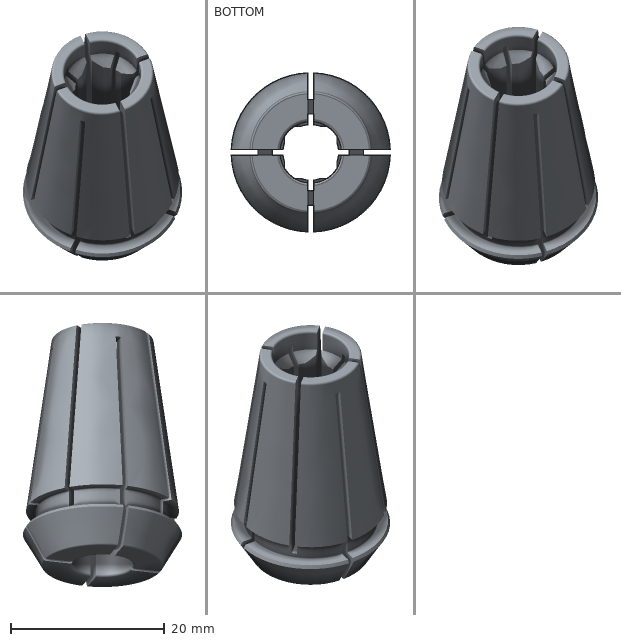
import cadquery as cq
import math


total_height = 31.5
flange_base_radius = 7.85
flange_half_angle = 30.0
flange_edge_height = 4.4
flange_top = 4.85
flange_top_radius = 10.15
groove_radius = 8.73
groove_top = 7.62
cone_base_radius = 10.0
cone_half_angle = 8.0

base_round = 0.3
rim_round = 0.3
groove_round = 0.15

shank_radius = 4.0
shank_depth = 18.02
core_radius = 3.62
square_side = 6.8
counterbore_radius = 5.0
counterbore_floor = 28.63
seat_half_angle = 50.0

slot_width = 0.72
bottom_slot_end = 29.5
top_slot_end = 5.55

flange_radius = flange_base_radius + flange_edge_height * math.tan(math.radians(flange_half_angle))
cone_height = total_height - groove_top
cone_top_radius = cone_base_radius - cone_height * math.tan(math.radians(cone_half_angle))
seat_height = counterbore_radius / math.tan(math.radians(seat_half_angle))
slot_length = 3 * flange_radius


def revolved_body():
    """Clamping flange, extraction groove and long cone, all in one revolve."""
    profile = (
        cq.Workplane("XZ")
        .lineTo(flange_base_radius, 0)
        .lineTo(flange_radius, flange_edge_height)
        .lineTo(flange_top_radius, flange_top)
        .lineTo(groove_radius, flange_top)
        .lineTo(groove_radius, groove_top)
        .lineTo(cone_base_radius, groove_top)
        .lineTo(cone_top_radius, total_height)
        .lineTo(0, total_height)
        .close()
    )
    return profile.revolve(360, (0, 0, 0), (0, 1, 0))


def edge_at(body, radius, height):
    """Pick the circular edge with this radius and height."""
    tolerance = 0.003
    return body.edges("%CIRCLE").filter(
        lambda edge: abs(edge.radius() - radius) < tolerance
        and abs(edge.Center().z - height) < tolerance
    )


def round_outside(body):
    """Round the base edge, the two corners of the groove and the top rim."""
    roundings = [
        (flange_base_radius, 0, base_round),
        (groove_radius, flange_top, groove_round),
        (groove_radius, groove_top, groove_round),
        (cone_top_radius, total_height, rim_round),
    ]
    for radius, height, rounding in roundings:
        body = edge_at(body, radius, height).fillet(rounding)
    return body


def cut_bores(body):
    """Shank bore from below, square socket above it, conical seat and counterbore on top."""
    shank_bore = cq.Workplane("XY").circle(shank_radius).extrude(shank_depth)
    socket_height = counterbore_floor - shank_depth
    socket_base = cq.Workplane("XY", origin=(0, 0, shank_depth))
    square_socket = socket_base.rect(square_side, square_side).extrude(socket_height)
    core_bore = socket_base.circle(core_radius).extrude(socket_height)
    counterbore = (
        cq.Workplane("XZ")
        .moveTo(0, counterbore_floor - seat_height)
        .lineTo(counterbore_radius, counterbore_floor)
        .lineTo(counterbore_radius, total_height)
        .lineTo(0, total_height)
        .close()
        .revolve(360, (0, 0, 0), (0, 1, 0))
    )
    body = body.cut(shank_bore).cut(square_socket).cut(core_bore).cut(counterbore)
    body = edge_at(body, shank_radius, 0).fillet(rim_round)
    return edge_at(body, counterbore_radius, total_height).fillet(rim_round)


def slot_cross(angle, bottom, top):
    """Two full-width slots crossing on the axis, turned by the given angle."""
    cross = cq.Workplane("XY", origin=(0, 0, bottom))
    height = top - bottom
    first = cross.rect(slot_length, slot_width).extrude(height)
    second = cross.rect(slot_width, slot_length).extrude(height)
    return first.union(second).rotate((0, 0, 0), (0, 0, 1), angle)


bottom_slots = slot_cross(0, 0, bottom_slot_end)
top_slots = slot_cross(45, top_slot_end, total_height)

result = cut_bores(round_outside(revolved_body())).cut(bottom_slots).cut(top_slots)